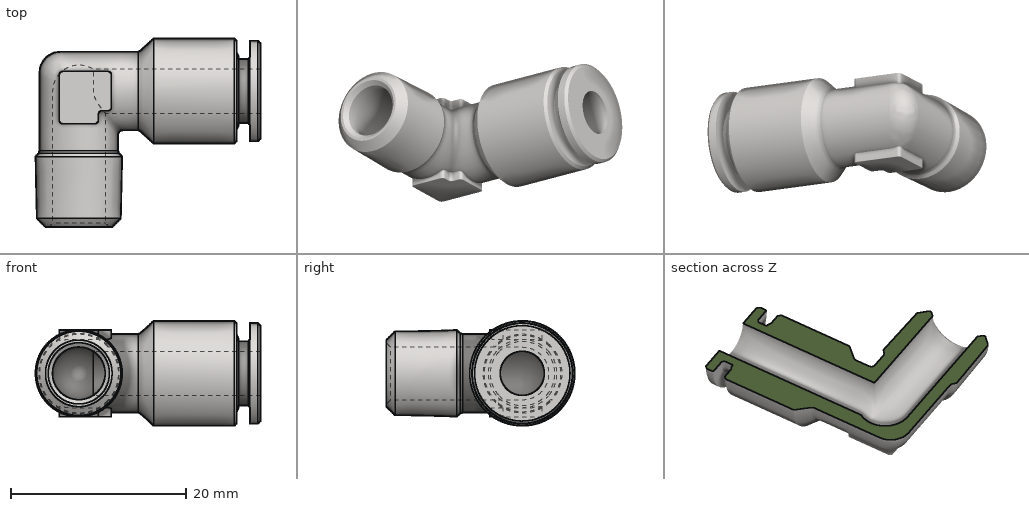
import cadquery as cq


overall_depth = 21.5

leg_radius = 4.5
outer_bend_radius = 2.4
inner_bend_radius = 0.5
rounded_height = 4.1

socket_radius = 12.0 / 2
socket_root_radius = 4.62
socket_start = 6.8
socket_cone_start = 7.03
socket_cone_end = 8.52
socket_end = 18.02
rim_chamfer = 0.3

collar_end = 20.72
flange_start = 19.5
flange_radius = 5.75
neck_radius = 3.67
neck_start = 18.23
neck_end = 19.3
neck_shoulder_radius = 3.9
rim_inner_radius = 4.36

plug_start = 6.8
plug_step_start = 7.08
plug_step_radius = 4.6
plug_full = 7.47
plug_radius = 4.95
plug_tip_radius = 4.8
plug_chamfer_start = 14.5
plug_end = overall_depth - socket_radius
plug_end_radius = 3.8

plug_bore_radius = 3.0
bore_entry_radius = 3.5
bore_entry_depth = bore_entry_radius - plug_bore_radius
tube_bore_radius = 2.52

pad_height = 4.95
pad_base = 2.57
pad_outer = 2.23
pad_inner = 3.72
pad_corner_radius = 0.4
pad_edge_radius = 0.05


def along_x(points):
    """Revolve (position, radius) points about the X axis."""
    return cq.Workplane("XY").polyline(points).close().revolve(360, (0, 0, 0), (1, 0, 0))


def along_minus_y(points):
    """Revolve (distance, radius) points about the Y axis, towards -Y."""
    outline = [(radius, -distance) for distance, radius in points]
    return cq.Workplane("XY").polyline(outline).close().revolve(360, (0, 0, 0), (0, 1, 0))


def mitred_leg(direction, length):
    """Make one round leg, cut off by the diagonal mitre plane of the elbow."""
    plane = "YZ" if direction == "X" else "XZ"
    leg = cq.Workplane(plane).workplane(offset=-leg_radius).circle(leg_radius).extrude(length + leg_radius)
    reach = 2 * length
    corner = (reach, reach) if direction == "X" else (-reach, -reach)
    keep = (
        cq.Workplane("XY")
        .polyline([(-reach, reach), (reach, -reach), corner])
        .close()
        .extrude(leg_radius * 2, both=True)
    )
    return leg.intersect(keep)


def make_elbow():
    elbow = mitred_leg("X", socket_start).union(mitred_leg("Y", plug_start))
    slab_size = 4 * (socket_start + leg_radius)
    slab = cq.Workplane("XY").box(slab_size, slab_size, 2 * rounded_height)
    middle = elbow.intersect(slab)
    caps = elbow.cut(slab)
    outer_edge = cq.selectors.BoxSelector(
        (-leg_radius, 0, -leg_radius), (0, leg_radius, leg_radius))
    inner_edge = cq.selectors.BoxSelector(
        (0, -leg_radius, -leg_radius), (leg_radius, 0, leg_radius))
    for edge, radius in [(outer_edge, outer_bend_radius), (inner_edge, inner_bend_radius)]:
        middle = middle.edges("not(|X or |Y)").edges(edge).fillet(radius)
    return middle.union(caps)


def make_socket():
    return along_x([
        (socket_start, 0),
        (socket_start, leg_radius),
        (socket_cone_start, socket_root_radius),
        (socket_cone_end, socket_radius),
        (socket_end - rim_chamfer, socket_radius),
        (socket_end, socket_radius - rim_chamfer),
        (socket_end, rim_inner_radius),
        (neck_start, neck_shoulder_radius),
        (neck_start, neck_radius),
        (neck_end, neck_radius),
        (flange_start, neck_shoulder_radius),
        (flange_start, flange_radius),
        (collar_end - rim_chamfer, flange_radius),
        (collar_end, flange_radius - rim_chamfer),
        (collar_end, 0),
    ])


def make_plug():
    return along_minus_y([
        (plug_start, 0),
        (plug_start, leg_radius),
        (plug_step_start, plug_step_radius),
        (plug_full, plug_radius),
        (plug_chamfer_start, plug_tip_radius),
        (plug_end, plug_end_radius),
        (plug_end, 0),
    ])


def make_pad():
    pad = (
        cq.Workplane("XY")
        .workplane(offset=pad_base)
        .polyline([
            (-pad_outer, pad_outer),
            (pad_inner, pad_outer),
            (pad_inner, -pad_outer),
            (pad_outer, -pad_outer),
            (pad_outer, -pad_inner),
            (-pad_outer, -pad_inner),
        ])
        .close()
        .extrude(pad_height - pad_base)
    )
    return pad.edges("|Z").fillet(pad_corner_radius).faces(">Z").edges().fillet(pad_edge_radius)


def make_bore():
    tube_run = cq.Workplane("YZ").circle(tube_bore_radius).extrude(collar_end)
    plug_run = along_minus_y([
        (0, 0),
        (0, plug_bore_radius),
        (plug_end - bore_entry_depth, plug_bore_radius),
        (plug_end, bore_entry_radius),
        (plug_end, 0),
    ])
    ball = cq.Workplane("XY").sphere(plug_bore_radius)
    return tube_run.union(plug_run).union(ball)


pad = make_pad()
result = (
    make_elbow()
    .union(make_socket())
    .union(make_plug())
    .union(pad)
    .union(pad.mirror("XY"))
    .cut(make_bore())
)